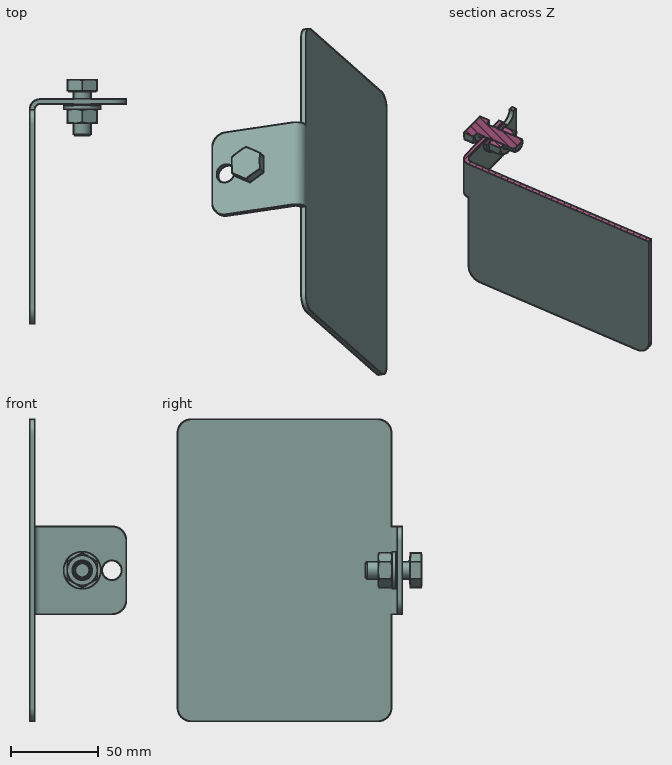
import cadquery as cq
import math

height = 172.0
width = 55.0
total_depth = 139.0
sheet = 3.0
bend_inner = 3.1
bend_outer = bend_inner + sheet
corner_radius = 8.0
tab_height = 50.0
extra_hole_diameter = 11.0
extra_hole_x = 46.8

axis_x = 30.0
thread_diameter = 10.0
hex_flats = 17.0
hex_corners = hex_flats / math.cos(math.radians(30))
bearing_diameter = 15.1
bearing_thickness = 0.5
head_gap = 4.1
head_thickness = 6.4
bolt_length = 32.0
tip_chamfer = 1.0
neck_fillet = 0.5
head_bevel_angle = 15
washer_diameter = 21.2
washer_thickness = 2.2
washer_gap = 0.7
nut_thickness = 7.9
nut_bevel_angle = 25
countersink_diameter = 11.4

head_top = total_depth
head_underside = head_top - head_thickness
bearing_face = head_underside - bearing_thickness
tab_outer = bearing_face - head_gap
tab_inner = tab_outer - sheet
plate_end = tab_outer - bend_outer
washer_top = tab_inner - washer_gap
nut_top = washer_top - washer_thickness


def cylinder(diameter, top, length, x=axis_x):
    """Cylinder along Y, running from y = top towards -Y."""
    return cq.Workplane("XZ", origin=(x, top, 0)).circle(diameter / 2).extrude(length)


def hexagon(top, length):
    """Hexagonal prism along Y with two corners pointing up and down in Z."""
    return (
        cq.Workplane("XZ", origin=(axis_x, top, 0))
        .transformed(rotate=(0, 0, 90))
        .polygon(6, hex_corners)
        .extrude(length)
    )


def bevel_envelope(top, length, faces, angle):
    """Turned blank whose chamfered ends bevel the corners of a hexagon at the given angle."""
    radial = (hex_corners - hex_flats) / 2
    axial = radial * math.tan(math.radians(angle))
    return cylinder(hex_corners, top, length).faces(faces).edges().chamfer(axial, radial)


def make_bracket():
    plate = (
        cq.Workplane("XY")
        .box(sheet, plate_end, height, centered=(False, False, True))
        .edges("|X")
        .fillet(corner_radius)
    )
    bend = (
        cq.Workplane("XY", origin=(bend_outer, plate_end, -tab_height / 2))
        .circle(bend_outer)
        .circle(bend_inner)
        .extrude(tab_height)
        .intersect(
            cq.Workplane("XY", origin=(0, plate_end, 0))
            .box(bend_outer, bend_outer, tab_height, centered=(False, False, True))
        )
    )
    tab = (
        cq.Workplane("XY", origin=(bend_outer, tab_inner, 0))
        .box(width - bend_outer, sheet, tab_height, centered=(False, False, True))
        .edges("|Y and >X")
        .fillet(corner_radius)
    )
    bolt_hole = cylinder(thread_diameter, tab_outer, sheet)
    extra_hole = cylinder(extra_hole_diameter, tab_outer, sheet, extra_hole_x)
    return plate.union(bend).union(tab).cut(bolt_hole).cut(extra_hole)


def make_bolt():
    head = hexagon(head_top, head_thickness).intersect(
        bevel_envelope(head_top, head_thickness, ">Y", head_bevel_angle)
    )
    bearing = cylinder(bearing_diameter, head_underside, bearing_thickness)
    shank = (
        cylinder(thread_diameter, bearing_face, bolt_length - head_thickness - bearing_thickness)
        .faces("<Y")
        .chamfer(tip_chamfer)
    )
    bolt = head.union(bearing).union(shank)
    smallest_circle = cq.selectors.RadiusNthSelector(0)
    neck_zone = cq.selectors.BoxSelector(
        (axis_x - hex_flats, bearing_face - neck_fillet, -hex_flats),
        (axis_x + hex_flats, bearing_face + bearing_thickness / 2, hex_flats),
    )
    return bolt.edges(neck_zone).edges(smallest_circle).fillet(neck_fillet)


def make_washer():
    return cylinder(washer_diameter, washer_top, washer_thickness).cut(
        cylinder(thread_diameter, washer_top, washer_thickness)
    )


def make_nut():
    blank = hexagon(nut_top, nut_thickness).intersect(
        bevel_envelope(nut_top, nut_thickness, "<Y or >Y", nut_bevel_angle)
    )
    bore = cylinder(thread_diameter, nut_top, nut_thickness)
    countersink = (countersink_diameter - thread_diameter) / 2
    return blank.cut(bore).edges(cq.selectors.RadiusNthSelector(0)).chamfer(countersink)


bracket = make_bracket()
bolt = make_bolt()
washer = make_washer()
nut = make_nut()

result = cq.Compound.makeCompound([bracket.val(), bolt.val(), washer.val(), nut.val()])